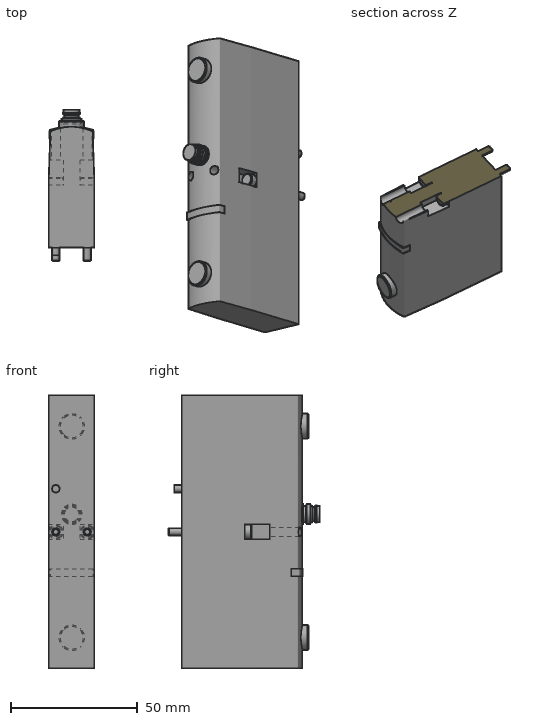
import cadquery as cq
import math

width = 18.0
height = 107.8
taper_start_y = 28.2
taper_angle = 2.0
shoulder_y = 45.9
crown_y = 47.68
corner_radius = 0.4
taper_slope = math.tan(math.radians(taper_angle))

cap_diameter = 10.0
cap_top_y = 50.15
cap_chamfer = 0.5
cap_offset_z = 41.7

connector_z = 7.0
connector_top_y = 54.5
tip_radius = 6.5 / 2
ring_radius = 6.9 / 2
neck_radius = 5.8 / 2
upper_cone_radius = 7.2 / 2
lower_cone_radius = 7.7 / 2
flange_radius = 8.0 / 2
ring_top_y = 53.3
ring_bottom_y = 52.85
neck_top_y = 52.3
neck_bottom_y = 51.45
flange_top_y = 50.8
flange_bottom_y = 49.4
stem_top_y = 48.9
collar_top_y = 47.9

screw_offset_x = 6.2
shank_diameter = 3.0
screw_tip_y = -5.3
screw_tip_chamfer = 0.4
head_diameter = 5.5
head_top_y = 27.7
head_chamfer = 0.4
pin_length = 3.0
pin_z = 17.0

window_height = 5.8
window_bottom_y = 24.8
window_top_y = 34.7
window_inner_x = screw_offset_x - window_height / 2
driver_hole_diameter = 3.5

clip_z = -16.0
clip_height = 3.0
clip_end_y = 43.2
clip_corner_y = 46.5
clip_crown_y = 47.8
clip_thickness = 0.3

overlap = 2.0


def flank_half_width(y):
    """Half width of the housing on its tapered part at position y."""
    return width / 2 - (y - taper_start_y) * taper_slope


def cylinder_along_y(x, z, start_y, end_y, diameter):
    """Solid cylinder parallel to Y between two Y positions."""
    return cq.Workplane(
        cq.Solid.makeCylinder(
            diameter / 2, end_y - start_y, cq.Vector(x, start_y, z), cq.Vector(0, 1, 0)
        )
    )


def make_housing():
    """Prism with gently tapered flanks and an arched +Y face."""
    shoulder_half_width = flank_half_width(shoulder_y)
    return (
        cq.Workplane("XY")
        .moveTo(-width / 2, 0)
        .lineTo(width / 2, 0)
        .lineTo(width / 2, taper_start_y)
        .lineTo(shoulder_half_width, shoulder_y)
        .threePointArc((0, crown_y), (-shoulder_half_width, shoulder_y))
        .lineTo(-width / 2, taper_start_y)
        .close()
        .extrude(height / 2, both=True)
        .edges("|Z")
        .edges(">Y")
        .fillet(corner_radius)
    )


def make_cap(z):
    cap = cylinder_along_y(0, z, shoulder_y - overlap, cap_top_y, cap_diameter)
    return cap.faces(">Y").chamfer(cap_chamfer)


def make_connector():
    """Turned profile revolved about an axis parallel to Y."""
    root_y = shoulder_y - overlap
    profile = [
        (0, root_y),
        (flange_radius, root_y),
        (flange_radius, collar_top_y),
        (tip_radius, collar_top_y),
        (tip_radius, stem_top_y),
        (lower_cone_radius, flange_bottom_y),
        (flange_radius, flange_bottom_y),
        (flange_radius, flange_top_y),
        (upper_cone_radius, flange_top_y),
        (tip_radius, neck_bottom_y),
        (neck_radius, neck_bottom_y),
        (neck_radius, neck_top_y),
        (ring_radius, ring_bottom_y),
        (ring_radius, ring_top_y),
        (tip_radius, ring_top_y),
        (tip_radius, connector_top_y),
        (0, connector_top_y),
    ]
    connector = cq.Workplane("XY").polyline(profile).close().revolve(360, (0, 0), (0, 1))
    return connector.translate((0, 0, connector_z))


def make_clip():
    """Thin band over the crown whose two ends fold down the flanks."""
    end_half_width = flank_half_width(clip_end_y) + clip_thickness
    corner_half_width = flank_half_width(clip_corner_y) + clip_thickness
    return (
        cq.Workplane("XY", origin=(0, 0, clip_z))
        .moveTo(-end_half_width, clip_end_y)
        .lineTo(end_half_width, clip_end_y)
        .lineTo(corner_half_width, clip_corner_y)
        .threePointArc((0, clip_crown_y), (-corner_half_width, clip_corner_y))
        .close()
        .extrude(clip_height / 2, both=True)
        .edges("|Z")
        .edges(">Y")
        .fillet(corner_radius)
    )


def cut_screw_access(body, side):
    """Cut the window and driver hole of one screw; side is -1 or +1 along X."""
    window_depth = width / 2 - window_inner_x
    window = cq.Workplane("XY").box(
        window_depth, window_top_y - window_bottom_y, window_height
    ).translate(
        (side * (window_inner_x + window_depth / 2), (window_top_y + window_bottom_y) / 2, 0)
    )
    driver_hole = cylinder_along_y(
        side * screw_offset_x, 0, window_top_y - overlap, crown_y, driver_hole_diameter
    )
    return body.cut(window).cut(driver_hole)


def make_screw(side):
    x = side * screw_offset_x
    shank = cylinder_along_y(x, 0, screw_tip_y, window_bottom_y, shank_diameter)
    shank = shank.faces("<Y").chamfer(screw_tip_chamfer)
    head = cylinder_along_y(x, 0, window_bottom_y - overlap, head_top_y, head_diameter)
    head = head.faces(">Y").chamfer(head_chamfer)
    return shank.union(head)


def make_locating_pin():
    return cylinder_along_y(-screw_offset_x, pin_z, -pin_length, overlap, shank_diameter)


result = make_housing().union(make_clip()).union(make_connector()).union(make_locating_pin())
for direction in (-1, 1):
    result = result.union(make_cap(direction * cap_offset_z))
    result = cut_screw_access(result, direction)
    result = result.union(make_screw(direction))